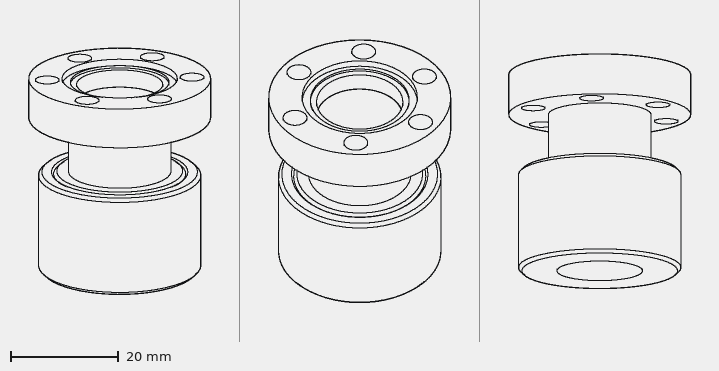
import cadquery as cq
import math

total_height = 37.35
flange_thickness = 7.62
flange_bottom = total_height - flange_thickness

flange_diameter = 33.77
bolt_count = 6
bolt_hole_diameter = 4.4
bolt_circle_diameter = 26.9
recess_diameter = 21.37
recess_depth = 1.27
knife_diameter = 18.3
knife_slope = 20.0
knife_rise = (recess_diameter - knife_diameter) / 2 * math.tan(math.radians(knife_slope))
seal_floor_depth = 1.15

neck_diameter = 19.05
upper_bore_diameter = 16.0
upper_bore_depth = 4.52
lower_bore_diameter = 15.88

collar_diameter = 30.15
collar_height = 18.98
collar_chamfer = 0.65
centre_diameter = 23.35
centre_rise = 0.2
groove_outer_diameter = 25.3
groove_bottom_diameter = (centre_diameter + groove_outer_diameter) / 2 + centre_rise
groove_depth = (groove_outer_diameter - groove_bottom_diameter) / 2


def revolved(profile):
    """Spin a closed (diameter, height) profile around the Z axis."""
    points = [(diameter / 2, height) for diameter, height in profile]
    return cq.Workplane("XZ").polyline(points).close().revolve(360, (0, 0), (0, 1))


def turned_body():
    chamfered_diameter = collar_diameter - 2 * collar_chamfer
    collar_outside = [
        (lower_bore_diameter, 0),
        (chamfered_diameter, 0),
        (collar_diameter, collar_chamfer),
        (collar_diameter, collar_height - collar_chamfer),
        (chamfered_diameter, collar_height),
    ]
    collar_top = [
        (groove_outer_diameter, collar_height),
        (groove_bottom_diameter, collar_height - groove_depth),
        (centre_diameter, collar_height + centre_rise),
        (neck_diameter, collar_height + centre_rise),
    ]
    flange = [
        (neck_diameter, flange_bottom),
        (flange_diameter, flange_bottom),
        (flange_diameter, total_height),
        (recess_diameter, total_height),
    ]
    knife_edge = [
        (recess_diameter, total_height - recess_depth),
        (knife_diameter, total_height - recess_depth + knife_rise),
        (knife_diameter, total_height - seal_floor_depth),
    ]
    bore = [
        (upper_bore_diameter, total_height - seal_floor_depth),
        (upper_bore_diameter, total_height - upper_bore_depth),
        (lower_bore_diameter, total_height - upper_bore_depth),
    ]
    return revolved(collar_outside + collar_top + flange + knife_edge + bore)


def bolt_holes():
    return (
        cq.Workplane("XY", origin=(0, 0, flange_bottom))
        .polarArray(bolt_circle_diameter / 2, 0, 360, bolt_count)
        .circle(bolt_hole_diameter / 2)
        .extrude(flange_thickness)
    )


result = turned_body().cut(bolt_holes())